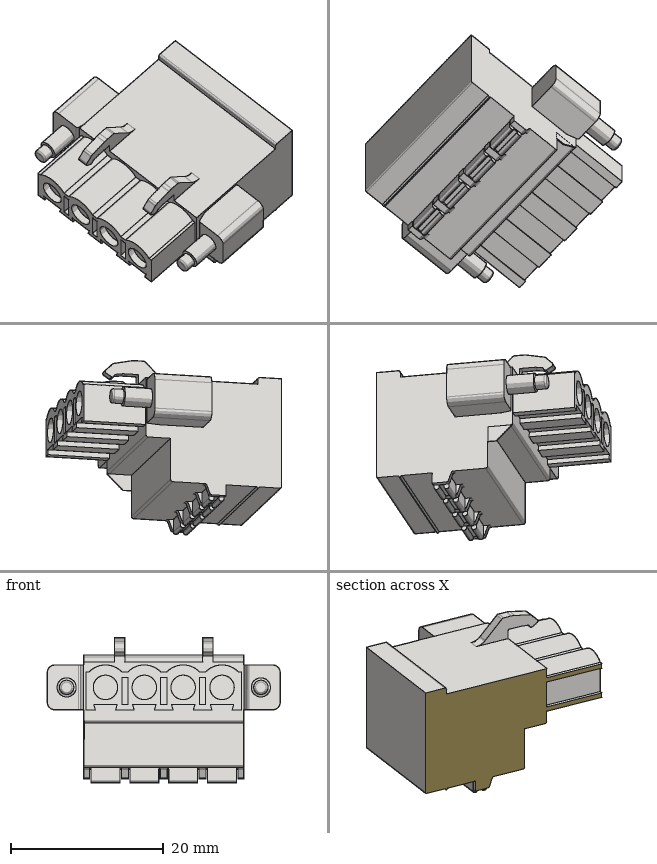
import cadquery as cq
import math


POLE_COUNT = 4
PITCH = 5.08
FIRST_POLE_X = -PITCH * (POLE_COUNT - 1) / 2

BODY_HALF_WIDTH = 10.48
BODY_DEPTH = 18.3
BODY_TOP = 3.34
BODY_BOTTOM = -10.5
LIP_TOP = 4.25
LIP_FRONT_Y = 15.08
OVERHANG_BOTTOM = -4.68
LOWER_FRONT_Y = 3.32
EDGE_RADIUS = 0.3
BACK_EDGE_RADIUS = 0.2
EMBED_DEPTH = 0.3
GUSSET_THICKNESS = 0.13
GUSSET_BOTTOM = -6.78
GUSSET_STEP_Y = 2.17
BEAD_Y = 15.12
BEAD_SIZE = 0.22

PLUG_LENGTH = 8.3
PLUG_HALF_WIDTH = 2 * PITCH
PLUG_RADIUS = 2.94
SHOULDER_Z = 2.02
HOLE_RADIUS = 1.6
HOLE_DEPTH = 1.0
SLOT_WIDTH = 0.8
SLOT_TOP = 1.32
NOTCH_TOP = -2.23
NOTCH_TOP_WIDTH = 3.06
NOTCH_BOTTOM_WIDTH = 2.66

SCREW_X = 2.5 * PITCH
EAR_HALF_WIDTH = 3 * PITCH
EAR_HALF_HEIGHT = 2.94
EAR_DEPTH = 7.69
EAR_RADIUS = 1.0
EAR_GAP_DEPTH = 1.6
EAR_GAP_WIDTH = 0.45
EAR_CORNER_RADIUS = 0.28
SCREW_RADIUS = 1.25
SCREW_STEP_Y = -3.66
TIP_RADIUS = 0.94
TIP_END_Y = -5.28
TIP_ROUNDING = 0.25
STEP_CONE_LENGTH = 0.1

LATCH_X = 5.77
LATCH_WIDTH = 1.36
LATCH_TOP = 6.52
LATCH_SLOPE_TOP = (0.84, LATCH_TOP)
LATCH_CROWN = (-0.74, LATCH_TOP)
LATCH_KNEE = (-3.45, 5.95)
LATCH_TIP = (-4.65, 4.78)
LATCH_BARB_FRONT = (-3.6, 4.13)
LATCH_BARB_BACK = (-3.38, 4.13)
LATCH_BARB_ROOT = (-3.1, 4.5)
LATCH_THROAT = (-2.1, 4.66)
LATCH_INNER = (0, 4.66)
LATCH_ROOT_RADIUS = 1.9
LATCH_SLOPE_RADIUS = 0.37
LATCH_CROWN_RADIUS = 2.6
LATCH_KNEE_RADIUS = 0.6
LATCH_TIP_RADIUS = 0.28
LATCH_INNER_RADIUS = 0.15

FOOT_BACK_Y = 10.81
FOOT_FRONT_Y = 8.68
RIB_ROOT_FRONT_Y = 8.14
RIB_ROOT_RADIUS = 0.32
RIB_BOTTOM = -11.95
RIB_RADIUS = 0.3
BLOCK_WIDTH = 3.8
BLOCK_BOTTOM = -12.49
BLOCK_INSET = 0.06
BLOCK_GROOVE_BACK_Y = 10.1
BLOCK_GROOVE_FRONT_Y = 9.43
BLOCK_RADIUS = 0.28
FOOT_GAP = 0.165


def pole_positions():
    """X of every contact axis."""
    return [FIRST_POLE_X + PITCH * i for i in range(POLE_COUNT)]


def gap_positions():
    """X of every midplane between two neighbouring contacts."""
    return [x + PITCH / 2 for x in pole_positions()[:-1]]


def extrude_across(outline, x_start, x_end):
    """Prism along X from (y, z) corners."""
    return cq.Workplane("YZ", origin=(x_start, 0, 0)).polyline(outline).close().extrude(x_end - x_start)


def round_edge(solid, x, y, z, radius):
    """Fillet the edge whose centre lies at (x, y, z)."""
    return solid.edges(cq.selectors.NearestToPointSelector((x, y, z))).fillet(radius)


def box_between(x_range, y_range, z_range):
    """Box given by its limits along each axis."""
    size = [high - low for low, high in (x_range, y_range, z_range)]
    corner = (x_range[0], y_range[0], z_range[0])
    return cq.Workplane("XY").box(*size, centered=False).translate(corner)


def make_body():
    """Housing block with the raised lip at the back and the overhang at the front."""
    outline = [
        (0, BODY_TOP),
        (LIP_FRONT_Y, BODY_TOP),
        (LIP_FRONT_Y, LIP_TOP),
        (BODY_DEPTH, LIP_TOP),
        (BODY_DEPTH, BODY_BOTTOM),
        (LOWER_FRONT_Y, BODY_BOTTOM),
        (LOWER_FRONT_Y, OVERHANG_BOTTOM),
        (0, OVERHANG_BOTTOM),
    ]
    body = extrude_across(outline, -BODY_HALF_WIDTH, BODY_HALF_WIDTH)
    body = round_edge(body, 0, LIP_FRONT_Y, LIP_TOP, EDGE_RADIUS)
    body = round_edge(body, 0, LOWER_FRONT_Y, BODY_BOTTOM, EDGE_RADIUS)
    body = round_edge(body, 0, 0, OVERHANG_BOTTOM, EDGE_RADIUS)
    return round_edge(body, 0, BODY_DEPTH, BODY_BOTTOM, BACK_EDGE_RADIUS)


def make_gusset():
    """Thin sloped web under the overhang at the -X side."""
    embedded_z = OVERHANG_BOTTOM + EDGE_RADIUS
    outline = [
        (0, embedded_z),
        (0, OVERHANG_BOTTOM),
        (GUSSET_STEP_Y, GUSSET_BOTTOM),
        (LOWER_FRONT_Y, GUSSET_BOTTOM),
        (LOWER_FRONT_Y, embedded_z),
    ]
    return extrude_across(outline, -BODY_HALF_WIDTH, GUSSET_THICKNESS - BODY_HALF_WIDTH)


def make_bead():
    """Small V-shaped bead across the underside."""
    outline = [
        (BEAD_Y - BEAD_SIZE, BODY_BOTTOM),
        (BEAD_Y, BODY_BOTTOM - BEAD_SIZE),
        (BEAD_Y + BEAD_SIZE, BODY_BOTTOM),
    ]
    return extrude_across(outline, -BODY_HALF_WIDTH, BODY_HALF_WIDTH)


def make_plug():
    """Plug with a round crown, a blind hole and an underside notch for every pole."""
    plug = box_between(
        (-PLUG_HALF_WIDTH, PLUG_HALF_WIDTH), (-PLUG_LENGTH, 0), (-PLUG_RADIUS, SHOULDER_Z)
    )
    arc_half_width = math.sqrt(PLUG_RADIUS**2 - SHOULDER_Z**2)
    for x in pole_positions():
        crown = (
            cq.Workplane("XZ")
            .moveTo(x - arc_half_width, SHOULDER_Z)
            .threePointArc((x, PLUG_RADIUS), (x + arc_half_width, SHOULDER_Z))
            .close()
            .extrude(PLUG_LENGTH)
        )
        plug = plug.union(crown)
    for x in pole_positions():
        hole_plane = cq.Workplane("XZ", origin=(x, HOLE_DEPTH - PLUG_LENGTH, 0))
        hole = hole_plane.circle(HOLE_RADIUS).extrude(HOLE_DEPTH)
        notch_outline = [
            (x - NOTCH_TOP_WIDTH / 2, NOTCH_TOP),
            (x + NOTCH_TOP_WIDTH / 2, NOTCH_TOP),
            (x + NOTCH_BOTTOM_WIDTH / 2, -PLUG_RADIUS),
            (x - NOTCH_BOTTOM_WIDTH / 2, -PLUG_RADIUS),
        ]
        notch = cq.Workplane("XZ").polyline(notch_outline).close().extrude(PLUG_LENGTH)
        plug = plug.cut(hole).cut(notch)
    for x in gap_positions():
        slot = box_between(
            (x - SLOT_WIDTH / 2, x + SLOT_WIDTH / 2), (-PLUG_LENGTH, 0), (NOTCH_TOP, SLOT_TOP)
        )
        plug = plug.cut(slot)
    return plug


def make_ear():
    """Mounting ear at the +X side with a wedge-shaped gap beside the housing."""
    inner_front_x = BODY_HALF_WIDTH + EAR_GAP_WIDTH
    outline = [
        (BODY_HALF_WIDTH, EAR_DEPTH),
        (EAR_HALF_WIDTH, EAR_DEPTH),
        (EAR_HALF_WIDTH, 0),
        (inner_front_x, 0),
        (BODY_HALF_WIDTH, EAR_GAP_DEPTH),
    ]
    ear = (
        cq.Workplane("XY", origin=(0, 0, -EAR_HALF_HEIGHT))
        .polyline(outline)
        .close()
        .extrude(2 * EAR_HALF_HEIGHT)
    )
    ear = round_edge(ear, inner_front_x, 0, 0, EAR_CORNER_RADIUS)
    return ear.edges("|Y and >X").fillet(EAR_RADIUS)


def make_screw():
    """Stepped screw end in front of the +X ear."""
    profile = [
        (0, 0),
        (SCREW_RADIUS, 0),
        (SCREW_RADIUS, SCREW_STEP_Y),
        (TIP_RADIUS, SCREW_STEP_Y - STEP_CONE_LENGTH),
        (TIP_RADIUS, TIP_END_Y),
        (0, TIP_END_Y),
    ]
    screw = cq.Workplane("XY").polyline(profile).close().revolve(360, (0, 0, 0), (0, 1, 0))
    screw = screw.faces("<Y").edges().fillet(TIP_ROUNDING)
    return screw.translate((SCREW_X, 0, 0))


def make_latch(x):
    """Hooked latch arm rising from the front edge of the housing."""
    slope_top_y, slope_top_z = LATCH_SLOPE_TOP
    root_y = slope_top_y + slope_top_z - BODY_TOP
    embedded_z = BODY_TOP - EMBED_DEPTH
    outline = [
        (0, embedded_z),
        (root_y + LATCH_ROOT_RADIUS, embedded_z),
        (root_y + LATCH_ROOT_RADIUS, BODY_TOP),
        (root_y, BODY_TOP),
        LATCH_SLOPE_TOP,
        LATCH_CROWN,
        LATCH_KNEE,
        LATCH_TIP,
        LATCH_BARB_FRONT,
        LATCH_BARB_BACK,
        LATCH_BARB_ROOT,
        LATCH_THROAT,
        LATCH_INNER,
    ]
    rounded_corners = [
        ((root_y, BODY_TOP), LATCH_ROOT_RADIUS),
        (LATCH_SLOPE_TOP, LATCH_SLOPE_RADIUS),
        (LATCH_CROWN, LATCH_CROWN_RADIUS),
        (LATCH_KNEE, LATCH_KNEE_RADIUS),
        (LATCH_TIP, LATCH_TIP_RADIUS),
        (LATCH_INNER, LATCH_INNER_RADIUS),
    ]
    latch = extrude_across(outline, x - LATCH_WIDTH / 2, x + LATCH_WIDTH / 2)
    for (y, z), radius in rounded_corners:
        latch = round_edge(latch, x, y, z, radius)
    return latch


def make_rib(x_start, x_end):
    """Foot rib with a sloping front, between or beside the blocks."""
    embedded_z = BODY_BOTTOM + EMBED_DEPTH
    root_end_y = RIB_ROOT_FRONT_Y - RIB_ROOT_RADIUS
    outline = [
        (FOOT_BACK_Y, embedded_z),
        (FOOT_BACK_Y, RIB_BOTTOM),
        (FOOT_FRONT_Y, RIB_BOTTOM),
        (RIB_ROOT_FRONT_Y, BODY_BOTTOM),
        (root_end_y, BODY_BOTTOM),
        (root_end_y, embedded_z),
    ]
    x_middle = (x_start + x_end) / 2
    rib = extrude_across(outline, x_start, x_end)
    rib = round_edge(rib, x_middle, FOOT_FRONT_Y, RIB_BOTTOM, RIB_RADIUS)
    return round_edge(rib, x_middle, RIB_ROOT_FRONT_Y, BODY_BOTTOM, RIB_ROOT_RADIUS)


def make_block(x):
    """Foot block under a pole, ending in two rounded lips."""
    back_y = FOOT_BACK_Y - BLOCK_INSET
    front_y = FOOT_FRONT_Y + BLOCK_INSET
    outline = [
        (back_y, BODY_BOTTOM),
        (back_y, BLOCK_BOTTOM),
        (BLOCK_GROOVE_BACK_Y, BLOCK_BOTTOM),
        (BLOCK_GROOVE_BACK_Y, RIB_BOTTOM),
        (BLOCK_GROOVE_FRONT_Y, RIB_BOTTOM),
        (BLOCK_GROOVE_FRONT_Y, BLOCK_BOTTOM),
        (front_y, BLOCK_BOTTOM),
        (front_y, BODY_BOTTOM),
    ]
    block = extrude_across(outline, x - BLOCK_WIDTH / 2, x + BLOCK_WIDTH / 2)
    for y in (back_y, BLOCK_GROOVE_BACK_Y, BLOCK_GROOVE_FRONT_Y, front_y):
        block = round_edge(block, x, y, BLOCK_BOTTOM, BLOCK_RADIUS)
    return block


def make_feet():
    """All blocks and ribs, with the end ribs reaching the housing sides."""
    rib_half_width = PITCH / 2 - BLOCK_WIDTH / 2 - FOOT_GAP
    end_rib_x = PLUG_HALF_WIDTH - rib_half_width
    feet = [make_block(x) for x in pole_positions()]
    feet += [make_rib(x - rib_half_width, x + rib_half_width) for x in gap_positions()]
    feet.append(make_rib(-BODY_HALF_WIDTH, -end_rib_x))
    feet.append(make_rib(end_rib_x, BODY_HALF_WIDTH))
    return feet


def make_part():
    """Housing joined with all of its attached features."""
    ear_with_screw = make_ear().union(make_screw())
    features = [make_gusset(), make_bead(), make_plug()]
    features += [ear_with_screw, ear_with_screw.mirror("YZ")]
    features += [make_latch(x) for x in (-LATCH_X, LATCH_X)]
    features += make_feet()
    part = make_body()
    for feature in features:
        part = part.union(feature)
    return part


result = make_part()